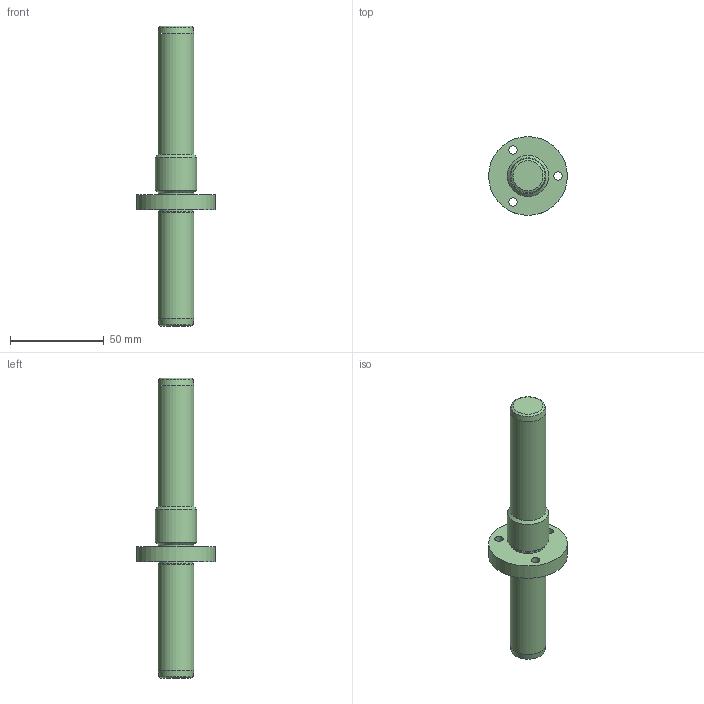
import cadquery as cq

total_length = 160.0
shaft_diameter = 19.0

taper_length = 4.0
taper_end_diameter = 18.2
end_face_diameter = 16.0
end_chamfer_height = 0.7

flange_diameter = 42.0
flange_bottom = 62.0
flange_thickness = 8.0
hole_count = 3
hole_diameter = 4.5
bolt_circle_diameter = 32.0

undercut_diameter = 18.2
undercut_width = 1.0
undercut_slope_height = 0.4

collar_diameter = 22.0
collar_gap = 1.0
collar_length = 20.5

shaft_radius = shaft_diameter / 2
taper_end_radius = taper_end_diameter / 2
end_face_radius = end_face_diameter / 2
collar_radius = collar_diameter / 2
collar_chamfer = collar_radius - shaft_radius
flange_top = flange_bottom + flange_thickness
collar_bottom = flange_top + collar_gap
collar_top = collar_bottom + collar_length


def make_shaft():
    """Turned shaft with tapered ends, undercut and collar."""
    undercut_radius = undercut_diameter / 2
    undercut_bottom = flange_bottom - undercut_width
    half_profile = [
        (0, 0),
        (end_face_radius, 0),
        (taper_end_radius, end_chamfer_height),
        (shaft_radius, taper_length),
        (shaft_radius, undercut_bottom - undercut_slope_height),
        (undercut_radius, undercut_bottom),
        (undercut_radius, flange_bottom),
        (shaft_radius, flange_bottom),
        (shaft_radius, collar_bottom),
        (collar_radius, collar_bottom + collar_chamfer),
        (collar_radius, collar_top - collar_chamfer),
        (shaft_radius, collar_top),
        (shaft_radius, total_length - taper_length),
        (taper_end_radius, total_length - end_chamfer_height),
        (end_face_radius, total_length),
        (0, total_length),
    ]
    profile = cq.Workplane("XZ").polyline(half_profile).close()
    return profile.revolve(360, (0, 0, 0), (0, 1, 0))


def make_flange():
    """Round flange with evenly spaced holes, the first one on +X."""
    base = cq.Workplane("XY", origin=(0, 0, flange_bottom))
    disc = base.circle(flange_diameter / 2).extrude(flange_thickness)
    holes = (
        base.polarArray(bolt_circle_diameter / 2, 0, 360, hole_count)
        .circle(hole_diameter / 2)
        .extrude(flange_thickness)
    )
    return disc.cut(holes)


result = make_shaft().union(make_flange())